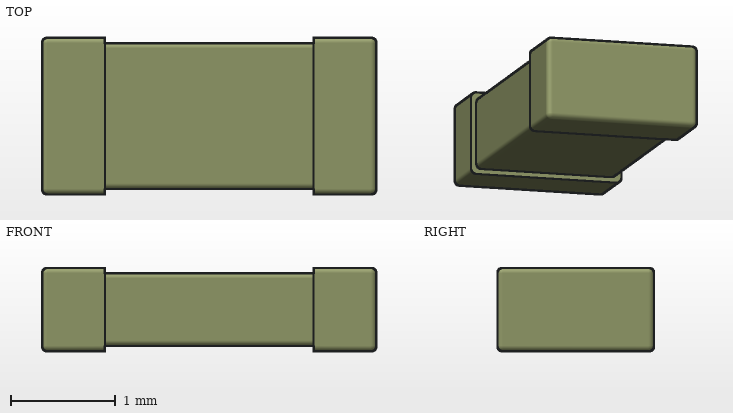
import cadquery as cq

length = 3.2
width = 1.5
height = 0.8

terminal_length = 0.6
edge_radius = 0.05
body_inset = 0.05

body_length = length - 2 * terminal_length


def make_body():
    """Central block between the terminals, with rounded lengthwise edges."""
    block = cq.Workplane("XY").box(
        body_length, width - 2 * body_inset, height - 2 * body_inset
    )
    return block.edges("|X").fillet(edge_radius)


def make_terminal(side):
    """End block on the -X (side = -1) or +X (side = 1) end; its inner rim stays sharp."""
    outer_face = ">X" if side > 0 else "<X"
    block = cq.Workplane("XY").box(terminal_length, width, height)
    rounded = block.edges(f"|X or {outer_face}").fillet(edge_radius)
    return rounded.translate((side * (length - terminal_length) / 2, 0, 0))


body = make_body()
terminals = [make_terminal(side) for side in (-1, 1)]

result = cq.Compound.makeCompound([body.val(), *[terminal.val() for terminal in terminals]])